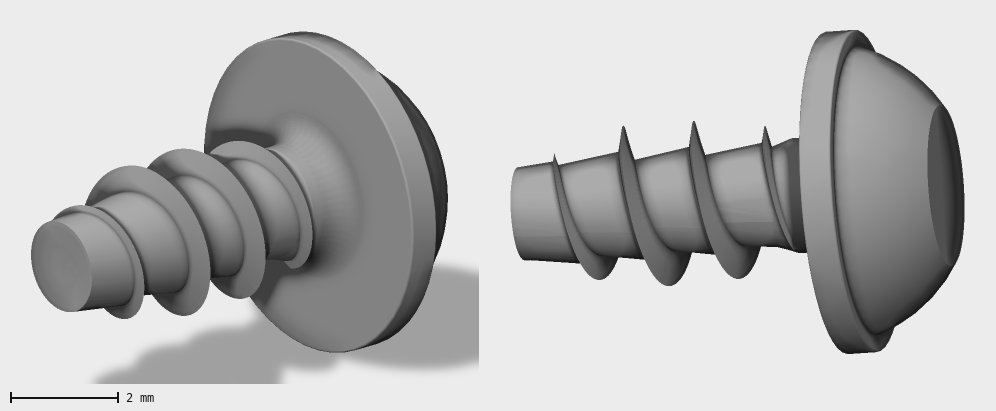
import cadquery as cq
import math


head_height = 2.1
head_top_radius = 1.5
dome_base_radius = 2.69
flange_radius = 3.0
flange_thickness = 0.6
flange_edge_radius = 0.04

neck_radius = 1.07
neck_fillet_radius = 0.5
neck_end_depth = 0.76
neck_cone_end_depth = 1.4
neck_cone_end_radius = 0.85

shank_length = 6.0
root_wide_radius = 1.04
root_narrow_radius = 0.87
narrow_root_loss = 0.05
narrow_root_loss_turn = 3.25
full_step_height_fraction = 0.8
tip_dish_radius = 0.8
tip_dish_depth = 0.04

pitch = 1.343
crest_depth_at_turn_zero = 0.99
crest_radius = 1.515
flank_angle = 15.0
thread_start_depth = 0.72
full_height_start_turn = 0.87
full_height_end_turn = 2.25
lead_in_growth = 0.27
run_out_loss = 0.45

samples_per_turn = 24
rod_start_turn = -1.125
rod_turn_count = 6
least_tooth_height = 0.01

flank_slope = math.tan(math.radians(flank_angle))


def revolve_about_y(outline):
    """Turn a closed XY outline around the screw axis."""
    return outline.close().revolve(360, (0, 0, 0), (0, 1, 0)).val()


def narrow_root_at(turn):
    """Narrow root radius, shrinking a little over the last turns."""
    return root_narrow_radius - narrow_root_loss * max(0, turn - narrow_root_loss_turn)


def crest_radius_at(turn):
    """Crest radius: rising at the head end, constant, then falling until the tooth vanishes."""
    lead_in = crest_radius - lead_in_growth * max(0, full_height_start_turn - turn)
    run_out = crest_radius - run_out_loss * max(0, turn - full_height_end_turn)
    return max(min(lead_in, run_out), narrow_root_at(turn) + least_tooth_height)


def helix_point(turn, offset, radius):
    """Point at a turn number, an axial offset from the crest towards the tip, and a radius."""
    angle = 2 * math.pi * turn
    depth = crest_depth_at_turn_zero + pitch * turn + offset
    return cq.Vector(radius * math.cos(angle), -depth, radius * math.sin(angle))


def crest_point(turn):
    return helix_point(turn, 0, crest_radius_at(turn))


def head_side_root(turn):
    """Foot of the tooth flank that faces the head."""
    root = narrow_root_at(turn)
    return helix_point(turn, -flank_slope * (crest_radius_at(turn) - root), root)


def tip_side_root(turn):
    """Foot of the tooth flank that faces the tip; the root step fades together with the tooth."""
    crest = crest_radius_at(turn)
    narrow_root = narrow_root_at(turn)
    height_fraction = (crest - narrow_root) / (crest_radius - narrow_root)
    step_fraction = min(1, height_fraction / full_step_height_fraction)
    root = narrow_root + (root_wide_radius - narrow_root) * step_fraction
    return helix_point(turn, flank_slope * (crest - root), root)


def next_head_side_root(turn):
    return head_side_root(turn + 1)


def one_turn_edge(point_at, start_turn):
    points = [point_at(start_turn + i / samples_per_turn) for i in range(samples_per_turn + 1)]
    return cq.Edge.makeSpline(points)


def end_faces(end_turn):
    """Close one end of the helical skin: a radial plane plus a helicoid reaching in to the axis."""
    rim = one_turn_edge(head_side_root, end_turn)
    corners = [
        head_side_root(end_turn),
        crest_point(end_turn),
        tip_side_root(end_turn),
        next_head_side_root(end_turn),
    ]
    axis_start = cq.Vector(0, corners[0].y, 0)
    axis_end = cq.Vector(0, corners[-1].y, 0)
    plane = cq.Face.makeFromWires(cq.Wire.makePolygon(corners + [axis_end, axis_start], close=True))
    axis_edge = cq.Edge.makeLine(axis_start, axis_end)
    return [plane, cq.Face.makeRuledSurface(rim, axis_edge)]


def make_threaded_rod():
    """Core and tooth as one solid, skinned turn by turn and longer than the shank at both ends."""
    band_edges = [head_side_root, crest_point, tip_side_root, next_head_side_root]
    faces = []
    for turn_index in range(rod_turn_count):
        turn = rod_start_turn + turn_index
        edges = [one_turn_edge(point_at, turn) for point_at in band_edges]
        for first, second in zip(edges, edges[1:]):
            faces.append(cq.Face.makeRuledSurface(first, second))
    rod_end_turn = rod_start_turn + rod_turn_count
    faces += end_faces(rod_start_turn)
    faces += end_faces(rod_end_turn)
    return cq.Solid.makeSolid(cq.Shell.makeShell(faces)).fix()


def make_head():
    """Flange with a flat-topped spherical dome centred on the axis."""
    sphere_centre = (
        head_top_radius**2 + head_height**2 - dome_base_radius**2 - flange_thickness**2
    ) / (2 * (head_height - flange_thickness))
    sphere_radius = math.hypot(head_top_radius, head_height - sphere_centre)
    middle_radius = (head_top_radius + dome_base_radius) / 2
    middle_height = sphere_centre + math.sqrt(sphere_radius**2 - middle_radius**2)
    dome = revolve_about_y(
        cq.Workplane("XY")
        .moveTo(0, flange_thickness / 2)
        .lineTo(dome_base_radius, flange_thickness / 2)
        .lineTo(dome_base_radius, flange_thickness)
        .threePointArc((middle_radius, middle_height), (head_top_radius, head_height))
        .lineTo(0, head_height)
    )
    flange = (
        cq.Workplane("XZ")
        .circle(flange_radius)
        .extrude(-flange_thickness)
        .edges()
        .fillet(flange_edge_radius)
        .val()
    )
    return flange.fuse(dome)


def make_neck():
    """Filleted cylinder under the head followed by a short cone that fades into the core."""
    return revolve_about_y(
        cq.Workplane("XY")
        .lineTo(neck_radius + neck_fillet_radius, 0)
        .radiusArc((neck_radius, -neck_fillet_radius), -neck_fillet_radius)
        .lineTo(neck_radius, -neck_end_depth)
        .lineTo(neck_cone_end_radius, -neck_cone_end_depth)
        .lineTo(0, -neck_cone_end_depth)
    )


def make_shank():
    """Threaded rod cut square at the neck and at the tip."""
    length_envelope = cq.Solid.makeCylinder(
        flange_radius,
        shank_length - thread_start_depth,
        cq.Vector(0, -thread_start_depth, 0),
        cq.Vector(0, -1, 0),
    )
    return make_threaded_rod().intersect(length_envelope)


def make_tip_dish():
    """Shallow spherical hollow in the end face."""
    sphere_radius = (tip_dish_radius**2 + tip_dish_depth**2) / (2 * tip_dish_depth)
    return revolve_about_y(
        cq.Workplane("XY")
        .moveTo(0, -shank_length)
        .lineTo(tip_dish_radius, -shank_length)
        .radiusArc((0, tip_dish_depth - shank_length), -sphere_radius)
    )


shank = make_shank().cut(make_tip_dish())
result = cq.Workplane(make_head().fuse(make_neck()).fuse(shank))